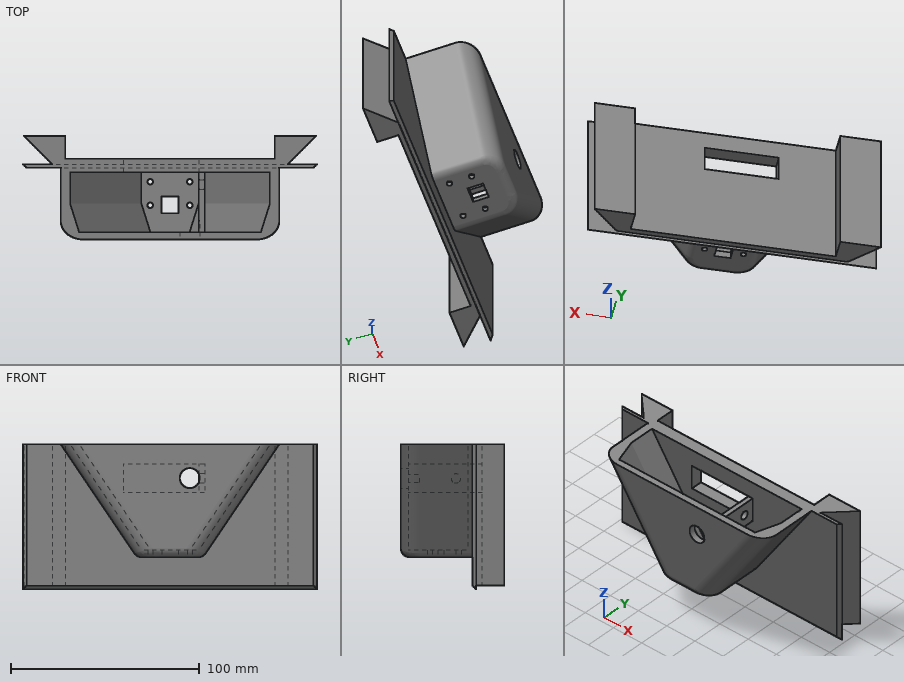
import cadquery as cq

HEIGHT = 77.0
DEPTH = 55.0

FLANGE_WIDTH = 156.0
FLANGE_THICKNESS = 2.0
FLANGE_FRONT_Y = 38.0
FLANGE_BACK_Y = FLANGE_FRONT_Y + FLANGE_THICKNESS
CORE_BACK_Y = 43.0
CORE_BOTTOM_Z = 2.0

RAIL_ROOT_WIDTH = 125.0
RAIL_TIP_WIDTH = RAIL_ROOT_WIDTH + 2 * (DEPTH - FLANGE_BACK_Y)
RAIL_GAP = 111.0

HOUSING_TOP_WIDTH = 116.0
HOUSING_BOTTOM_Z = 17.0
SIDE_RUN_PER_RISE = 0.675
SIDE_FILLET = 10.0
BOTTOM_FILLET = 5.0

CAVITY_TOP_WIDTH = 106.0
CAVITY_FLOOR_Z = 21.0
CAVITY_FRONT_Y = 4.0
CAVITY_BACK_Y = 35.7
CORNER_INSET = 4.8
CORNER_START_Y = 19.2

WINDOW_WIDTH = 40.0
WINDOW_HEIGHT = 15.0
WINDOW_CENTRE_Z = 59.0
WINDOW_BOTTOM_Z = WINDOW_CENTRE_Z - WINDOW_HEIGHT / 2
WINDOW_TOP_Z = WINDOW_CENTRE_Z + WINDOW_HEIGHT / 2
PARTITION_X = 15.3
PARTITION_THICKNESS = 3.0
PARTITION_HOLE_DIAMETER = 5.0
PARTITION_HOLE_Y = 29.2

FRONT_HOLE_DIAMETER = 10.5
FRONT_HOLE_X = 10.5
FRONT_HOLE_DEPTH = 10.0

SCREW_HOLE_DIAMETER = 2.8
SCREW_HOLE_SPACING_X = 21.0
SCREW_HOLE_ROWS_Y = (18.2, 30.7)
SQUARE_OPENING = 8.8
SQUARE_OPENING_Y = 18.4


def box(x_range, y_range, z_range):
    """Box spanning the given (low, high) ranges."""
    (x0, x1), (y0, y1), (z0, z1) = x_range, y_range, z_range
    return cq.Workplane("XY").box(x1 - x0, y1 - y0, z1 - z0, centered=False).translate((x0, y0, z0))


def plan_prism(points, bottom_z):
    """Prism with a plan outline, rising from bottom_z to the top of the part."""
    return cq.Workplane("XY", origin=(0, 0, bottom_z)).polyline(points).close().extrude(HEIGHT - bottom_z)


def side_half_width(top_half, z):
    """Half width at height z of a symmetric shape whose sides slope in from top_half at the top."""
    return top_half - SIDE_RUN_PER_RISE * (HEIGHT - z)


def make_flange():
    """Thin plate bevelled at 45 degrees along both sides and the bottom, largest at its back face."""
    back_half = FLANGE_WIDTH / 2
    front_half = back_half - FLANGE_THICKNESS
    plan = [
        (-front_half, FLANGE_FRONT_Y),
        (front_half, FLANGE_FRONT_Y),
        (back_half, FLANGE_BACK_Y),
        (-back_half, FLANGE_BACK_Y),
    ]
    bottom_bevel = (
        cq.Workplane("YZ")
        .polyline([(FLANGE_FRONT_Y, 0), (FLANGE_BACK_Y, 0), (FLANGE_FRONT_Y, FLANGE_THICKNESS)])
        .close()
        .extrude(back_half, both=True)
    )
    return plan_prism(plan, 0).cut(bottom_bevel)


def make_rails():
    """Plate core together with the two dovetail rails on its back."""
    root_half = RAIL_ROOT_WIDTH / 2
    tip_half = RAIL_TIP_WIDTH / 2
    gap_half = RAIL_GAP / 2
    plan = [
        (-root_half, FLANGE_BACK_Y),
        (root_half, FLANGE_BACK_Y),
        (tip_half, DEPTH),
        (gap_half, DEPTH),
        (gap_half, CORE_BACK_Y),
        (-gap_half, CORE_BACK_Y),
        (-gap_half, DEPTH),
        (-tip_half, DEPTH),
    ]
    return plan_prism(plan, CORE_BOTTOM_Z)


def make_housing():
    """Solid hopper with its front corners and then its bottom rim rounded."""
    top_half = HOUSING_TOP_WIDTH / 2
    bottom_half = side_half_width(top_half, HOUSING_BOTTOM_Z)
    outline = [
        (-top_half, HEIGHT),
        (top_half, HEIGHT),
        (bottom_half, HOUSING_BOTTOM_Z),
        (-bottom_half, HOUSING_BOTTOM_Z),
    ]
    body = cq.Workplane("XZ").polyline(outline).close().extrude(-FLANGE_BACK_Y)
    body = body.faces("<Y").edges("not |X").fillet(SIDE_FILLET)
    return body.faces("<Z").edges("not >Y").fillet(BOTTOM_FILLET)


def cavity_plan(half_width):
    """Plan of the cavity at one height: a rectangle with both front corners cut off."""
    front_half = half_width - CORNER_INSET
    return [
        (-half_width, CAVITY_BACK_Y),
        (-half_width, CORNER_START_Y),
        (-front_half, CAVITY_FRONT_Y),
        (front_half, CAVITY_FRONT_Y),
        (half_width, CORNER_START_Y),
        (half_width, CAVITY_BACK_Y),
    ]


def make_cavity():
    """Open-topped pocket that narrows towards its floor along the housing's slope."""
    top_half = CAVITY_TOP_WIDTH / 2
    floor_half = side_half_width(top_half, CAVITY_FLOOR_Z)
    return (
        cq.Workplane("XY", origin=(0, 0, CAVITY_FLOOR_Z))
        .polyline(cavity_plan(floor_half))
        .close()
        .workplane(offset=HEIGHT - CAVITY_FLOOR_Z)
        .polyline(cavity_plan(top_half))
        .close()
        .loft(ruled=True)
    )


def make_partition():
    """Small wall bridging the cavity beside the window, as tall as it, pierced by one small hole."""
    wall = box(
        (PARTITION_X, PARTITION_X + PARTITION_THICKNESS),
        (CAVITY_FRONT_Y, CAVITY_BACK_Y),
        (WINDOW_BOTTOM_Z, WINDOW_TOP_Z),
    )
    hole = (
        cq.Workplane("YZ", origin=(PARTITION_X, PARTITION_HOLE_Y, WINDOW_CENTRE_Z))
        .circle(PARTITION_HOLE_DIAMETER / 2)
        .extrude(PARTITION_THICKNESS)
    )
    return wall.cut(hole)


def make_window():
    """Rectangular opening through the plate, flush with the partition on its right."""
    return box(
        (PARTITION_X - WINDOW_WIDTH, PARTITION_X),
        (CAVITY_BACK_Y, CORE_BACK_Y),
        (WINDOW_BOTTOM_Z, WINDOW_TOP_Z),
    )


def make_front_hole():
    """Round hole through the front wall, deep enough to groove the face of the partition beside it."""
    return (
        cq.Workplane("XZ", origin=(FRONT_HOLE_X, 0, WINDOW_CENTRE_Z))
        .circle(FRONT_HOLE_DIAMETER / 2)
        .extrude(-FRONT_HOLE_DEPTH)
    )


def make_floor_openings():
    """Four screw holes and one square opening through the cavity floor."""
    floor_thickness = CAVITY_FLOOR_Z - HOUSING_BOTTOM_Z
    floor = cq.Workplane("XY", origin=(0, 0, HOUSING_BOTTOM_Z))
    screw_half = SCREW_HOLE_SPACING_X / 2
    screw_places = [(x, y) for x in (-screw_half, screw_half) for y in SCREW_HOLE_ROWS_Y]
    screws = floor.pushPoints(screw_places).circle(SCREW_HOLE_DIAMETER / 2).extrude(floor_thickness)
    square = floor.center(0, SQUARE_OPENING_Y).rect(SQUARE_OPENING, SQUARE_OPENING).extrude(floor_thickness)
    return screws.union(square)


result = (
    make_flange()
    .union(make_rails())
    .union(make_housing())
    .cut(make_cavity())
    .union(make_partition())
    .cut(make_window())
    .cut(make_front_hole())
    .cut(make_floor_openings())
)